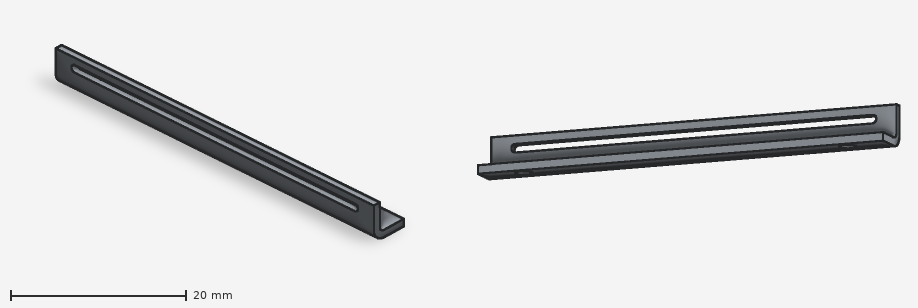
import cadquery as cq

length = 50.0
flange = 5.0
thickness = 1.0
outer_bend_radius = 1.7
inner_bend_radius = outer_bend_radius - thickness

slot_length = 45.0
slot_width = 1.0
slot_height = 3.5

hole_diameter = 2.0
hole_spacing = 40.0
hole_setback = 3.4


def make_angle():
    """L section with a concentric bend, extruded along X and centred on X = 0."""
    profile = (
        cq.Workplane("YZ")
        .moveTo(0, 0)
        .lineTo(flange, 0)
        .lineTo(flange, thickness)
        .lineTo(thickness, thickness)
        .lineTo(thickness, flange)
        .lineTo(0, flange)
        .close()
    )
    angle = profile.extrude(length / 2, both=True)
    outer_corner = cq.selectors.NearestToPointSelector((0, 0, 0))
    inner_corner = cq.selectors.NearestToPointSelector((0, thickness, thickness))
    angle = angle.edges("|X").edges(outer_corner).fillet(outer_bend_radius)
    return angle.edges("|X").edges(inner_corner).fillet(inner_bend_radius)


def make_slot_cutter():
    """Round-ended slot running along X, reaching through the upright leg."""
    return (
        cq.Workplane("XZ")
        .center(0, slot_height)
        .slot2D(slot_length, slot_width)
        .extrude(-thickness)
    )


def make_hole_cutters():
    """Pair of vertical round holes, reaching through the base leg."""
    return (
        cq.Workplane("XY")
        .pushPoints([(side * hole_spacing / 2, hole_setback) for side in (-1, 1)])
        .circle(hole_diameter / 2)
        .extrude(thickness)
    )


result = make_angle().cut(make_slot_cutter()).cut(make_hole_cutters())